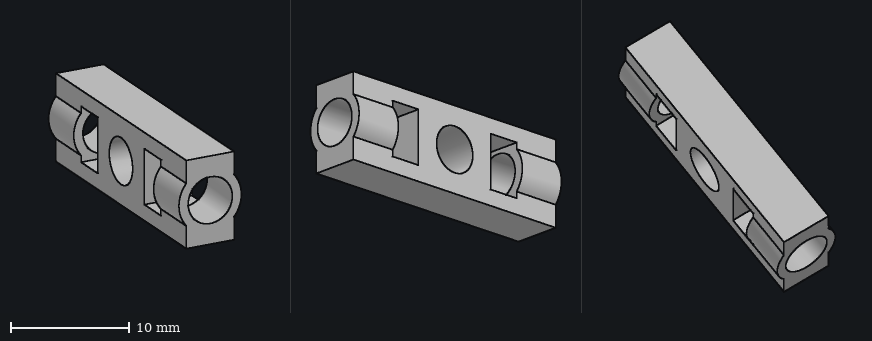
import cadquery as cq

length = 23.62
bar_depth = 4.6
bar_height = 8.0
sleeve_diameter = 6.0
sleeve_length = 4.58
bore_diameter = 4.23
window_width = 3.0
window_height = 5.05

window_center = length / 2 - sleeve_length - window_width / 2


def end_cylinder(side, diameter):
    """Cylinder along X running inward from one end of the bar, side being -1 or 1."""
    return (
        cq.Workplane("YZ", origin=(side * length / 2, 0, 0))
        .circle(diameter / 2)
        .extrude(-side * sleeve_length)
    )


def window(side):
    """Rectangular opening through the bar, next to one sleeve."""
    return (
        cq.Workplane("XY")
        .box(window_width, sleeve_diameter, window_height)
        .translate((side * window_center, 0, 0))
    )


center_hole = (
    cq.Workplane("XZ", origin=(0, bar_depth / 2, 0))
    .circle(bore_diameter / 2)
    .extrude(bar_depth)
)
result = cq.Workplane("XY").box(length, bar_depth, bar_height).cut(center_hole)

for side in (-1, 1):
    result = result.union(end_cylinder(side, sleeve_diameter))
    result = result.cut(end_cylinder(side, bore_diameter))
    result = result.cut(window(side))